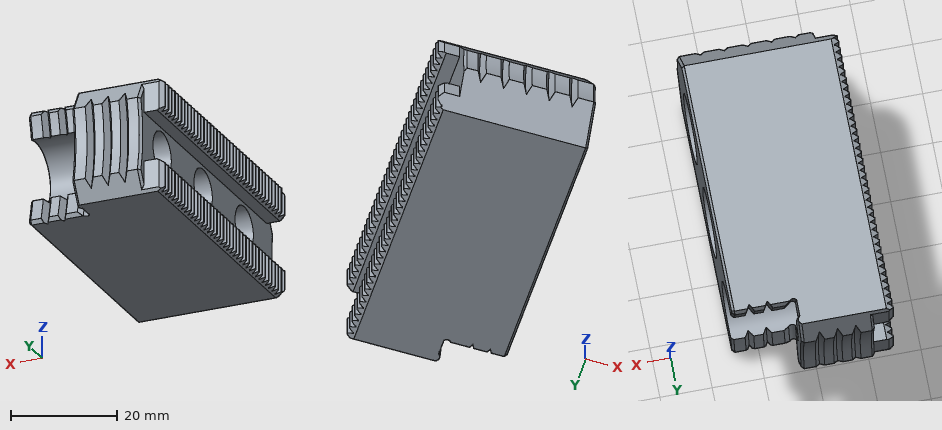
import cadquery as cq
import math

LENGTH = 62.0
DEPTH = 30.0
WIDTH = 23.0
FRONT_Y = -LENGTH / 2
BACK_Y = LENGTH / 2
HALF_WIDTH = WIDTH / 2
FLANK_SLOPE = math.tan(math.radians(30))
EDGE_CHAMFER = 0.5
OVERCUT = 0.6

FRONT_RADIUS, FRONT_HALF_CHORD = 19.85, 3.0
BACK_RADIUS, BACK_HALF_CHORD = 32.25, 7.4
STEP_RADIUS, STEP_HALF_CHORD = 37.1, 10.65
STEP_Y = 24.2
STEP_WALL_X = 18.05

SLOT_DEPTH = 4.05
SLOT_WIDTH = 10.0
RAIL_FRONT_Y = -27.9
RAIL_BACK_Y = 29.0
RAIL_CHAMFER_DEPTH = 1.35
RAIL_CHAMFER_WIDTH = RAIL_CHAMFER_DEPTH * FLANK_SLOPE
TOOTH_COUNT = 38
TOOTH_PITCH = (RAIL_BACK_Y - RAIL_FRONT_Y) / TOOTH_COUNT
TOOTH_DEPTH = 1.0
TOOTH_TIP = 0.3

GROOVE_HALF_ANGLE = math.radians(30)
GROOVE_DEPTH = 1.4
GROOVE_HALF_WIDTH = GROOVE_DEPTH * math.tan(GROOVE_HALF_ANGLE)
GRIP_PITCH = 3.5
FRONT_GROOVE_PITCH = 4.5
FRONT_GROOVE_START = 3.5
FRONT_GROOVES = [SLOT_DEPTH + FRONT_GROOVE_START + i * FRONT_GROOVE_PITCH for i in range(5)]
BACK_GROOVES = [SLOT_DEPTH + (i + 1) * GRIP_PITCH for i in range(3)]
STEP_GROOVES = [DEPTH - (i + 1) * GRIP_PITCH for i in range(2)]

RELIEF_HEIGHT = 2.8
RELIEF_UNDERCUT = 0.45
RELIEF_BOTTOM = 1.05
RELIEF_SHOULDER = 0.7
RELIEF_BOTTOM_WIDTH = 1.3
RELIEF_RUNOUT = 1.85

HOLE_DIAMETER = 8.5
COUNTERBORE_DIAMETER = 13.5
HOLE_PITCH = 19.05
MIDDLE_HOLE_Y = 1.6
BOLT_SEAT = 4.95


def arc_centre(corner_y, radius, half_chord, side):
    """Y of the arc axis, which lies outside the part on the given side (+1 back, -1 front)."""
    return corner_y + side * math.sqrt(radius**2 - half_chord**2)


def shoulder_y(corner_y, half_chord, side):
    """Y where the sloped flank of a gripping end meets the top face."""
    return corner_y - side * (HALF_WIDTH - half_chord) * FLANK_SLOPE


def arc_middle(corner_y, radius, half_chord, side):
    """Point (y, z) where the arc of a gripping end crosses the middle plane."""
    return (arc_centre(corner_y, radius, half_chord, side) - side * radius, 0)


FRONT_END = (FRONT_Y, FRONT_RADIUS, FRONT_HALF_CHORD, -1)
BACK_END = (BACK_Y, BACK_RADIUS, BACK_HALF_CHORD, 1)
STEP_END = (STEP_Y, STEP_RADIUS, STEP_HALF_CHORD, 1)


def jaw_prism(back_end, start_x, end_x):
    """Jaw section from the front end to the given back end, extruded along X."""
    back_y, _, back_half, back_side = back_end
    back_top = shoulder_y(back_y, back_half, back_side)
    front_top = shoulder_y(FRONT_Y, FRONT_HALF_CHORD, -1)
    return (
        cq.Workplane("YZ", origin=(start_x, 0, 0))
        .moveTo(front_top, HALF_WIDTH)
        .lineTo(back_top, HALF_WIDTH)
        .lineTo(back_y, back_half)
        .threePointArc(arc_middle(*back_end), (back_y, -back_half))
        .lineTo(back_top, -HALF_WIDTH)
        .lineTo(front_top, -HALF_WIDTH)
        .lineTo(FRONT_Y, -FRONT_HALF_CHORD)
        .threePointArc(arc_middle(*FRONT_END), (FRONT_Y, FRONT_HALF_CHORD))
        .close()
        .extrude(end_x - start_x)
    )


def body():
    """Full-depth body plus the shallower block that carries the back grip."""
    full = jaw_prism(STEP_END, SLOT_DEPTH, DEPTH).faces(">X").chamfer(EDGE_CHAMFER)
    block = jaw_prism(BACK_END, SLOT_DEPTH, STEP_WALL_X)
    back_edges = cq.selectors.BoxSelector(
        (0, shoulder_y(BACK_Y, BACK_HALF_CHORD, 1), -WIDTH), (DEPTH, LENGTH, WIDTH)
    )
    block = block.faces("<X or >X").edges(back_edges).chamfer(EDGE_CHAMFER)
    front_arc_edge = cq.selectors.NearestToPointSelector((SLOT_DEPTH, *arc_middle(*FRONT_END)))
    return full.union(block).edges("%CIRCLE").edges(front_arc_edge).chamfer(EDGE_CHAMFER)


def rails():
    """Two chamfered rails with serrations, trimmed to the jaw outline."""
    inner = SLOT_WIDTH / 2
    upper = (
        cq.Workplane("XZ", origin=(0, RAIL_BACK_Y, 0))
        .polyline([
            (SLOT_DEPTH + OVERCUT, inner),
            (RAIL_CHAMFER_DEPTH, inner),
            (0, inner + RAIL_CHAMFER_WIDTH),
            (0, HALF_WIDTH - RAIL_CHAMFER_WIDTH),
            (RAIL_CHAMFER_DEPTH, HALF_WIDTH),
            (SLOT_DEPTH + OVERCUT, HALF_WIDTH),
        ])
        .close()
        .extrude(RAIL_BACK_Y - RAIL_FRONT_Y)
    )
    both = upper.union(upper.mirror("XY"))

    rack_outline = [(SLOT_DEPTH + OVERCUT, RAIL_FRONT_Y), (TOOTH_DEPTH, RAIL_FRONT_Y)]
    for i in range(TOOTH_COUNT):
        root_y = RAIL_FRONT_Y + i * TOOTH_PITCH
        tip_y = root_y + TOOTH_PITCH / 2
        rack_outline.append((0, tip_y - TOOTH_TIP / 2))
        rack_outline.append((0, tip_y + TOOTH_TIP / 2))
        rack_outline.append((TOOTH_DEPTH, root_y + TOOTH_PITCH))
    rack_outline.append((SLOT_DEPTH + OVERCUT, RAIL_BACK_Y))
    rack = cq.Workplane("XY").polyline(rack_outline).close().extrude(HALF_WIDTH, both=True)
    envelope = jaw_prism(BACK_END, 0, SLOT_DEPTH + OVERCUT)
    return both.intersect(rack).intersect(envelope)


def v_groove(x, end):
    """V groove of constant depth round the arc of a gripping end."""
    _, radius, _, side = end
    centre_y = arc_centre(*end)
    flare = 1 + OVERCUT / GROOVE_DEPTH
    mouth = centre_y - side * (radius - OVERCUT)
    root = centre_y - side * (radius + GROOVE_DEPTH)
    return (
        cq.Workplane("XY")
        .polyline([
            (x - GROOVE_HALF_WIDTH * flare, mouth),
            (x + GROOVE_HALF_WIDTH * flare, mouth),
            (x, root),
        ])
        .close()
        .revolve(360, (0, centre_y, 0), (1, centre_y, 0))
    )


def corner_relief():
    """Round-bottomed undercut swept round the step arc at the foot of its wall."""
    centre_y = arc_centre(*STEP_END)
    arc_y = centre_y - STEP_RADIUS
    undercut_x = STEP_WALL_X - RELIEF_UNDERCUT
    runout_x = STEP_WALL_X + RELIEF_RUNOUT
    wall_top = arc_y + RELIEF_HEIGHT
    shoulder = arc_y - RELIEF_SHOULDER
    return (
        cq.Workplane("XY")
        .moveTo(STEP_WALL_X, wall_top)
        .lineTo(undercut_x, wall_top - RELIEF_UNDERCUT)
        .lineTo(undercut_x, shoulder)
        .threePointArc(
            (undercut_x + RELIEF_BOTTOM_WIDTH / 2, arc_y - RELIEF_BOTTOM),
            (undercut_x + RELIEF_BOTTOM_WIDTH, shoulder),
        )
        .lineTo(runout_x, arc_y)
        .lineTo(runout_x, wall_top)
        .close()
        .revolve(360, (0, centre_y, 0), (1, centre_y, 0))
    )


def bolt_holes():
    """Counterbored through holes in a row along the slot."""
    centres = [(MIDDLE_HOLE_Y + i * HOLE_PITCH, 0) for i in (-1, 0, 1)]
    through = cq.Workplane("YZ").pushPoints(centres).circle(HOLE_DIAMETER / 2).extrude(DEPTH)
    counterbore = (
        cq.Workplane("YZ", origin=(SLOT_DEPTH + BOLT_SEAT, 0, 0))
        .pushPoints(centres)
        .circle(COUNTERBORE_DIAMETER / 2)
        .extrude(DEPTH)
    )
    return through.union(counterbore)


jaw = body().union(rails())
for groove_places, grip_end in (
    (FRONT_GROOVES, FRONT_END),
    (BACK_GROOVES, BACK_END),
    (STEP_GROOVES, STEP_END),
):
    for groove_x in groove_places:
        jaw = jaw.cut(v_groove(groove_x, grip_end))

result = jaw.cut(corner_relief()).cut(bolt_holes())